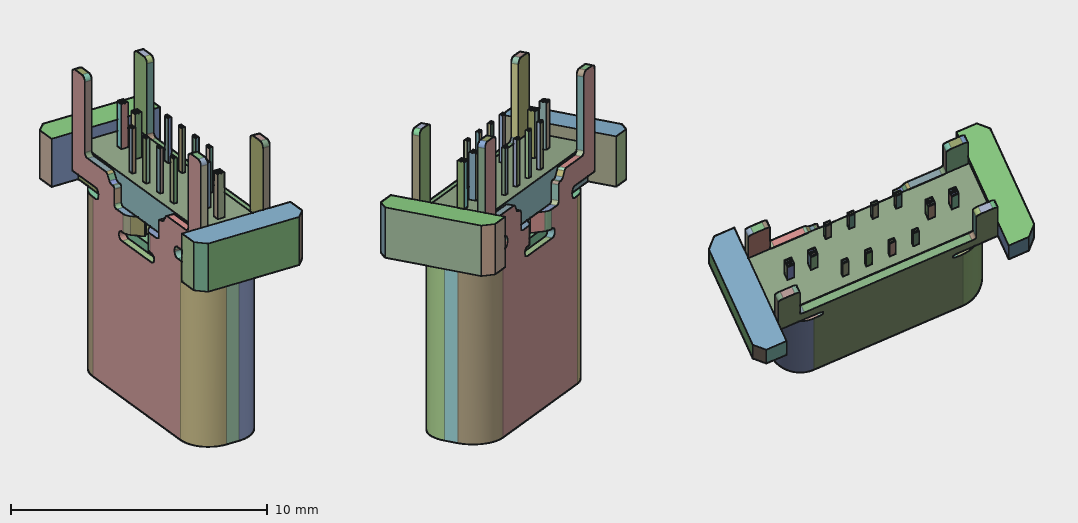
import cadquery as cq
import math

leg_top = 12.9
pin_top = 11.5
wing_top = 10.0
housing_top = 9.5
plate_top = 9.4
wing_bottom = 7.88

shell_width = 8.95
shell_depth = 3.19
shell_corner_radius = 1.3
sheet_thickness = 0.32
housing_depth = shell_depth - 2 * sheet_thickness
front_face = -shell_depth / 2
plate_width = 9.37

total_width = 12.0
wing_depth = 5.0
wing_length = 1.26
wing_chamfer = 0.4
housing_width = total_width - 2 * wing_length

leg_width = 0.93
leg_tip_radius = 0.22
leg_root_radius = 0.18
relief_height = 0.5
relief_end = 2.76
relief_corner_radius = 0.22

notch_mouth_half = 2.15
notch_step_half = 1.91
notch_half = 1.61
notch_step_level = 9.02
notch_bottom = 8.1
notch_mouth_radius = 0.15
notch_slope_radius = 0.22
notch_lip_radius = 0.1
notch_corner_radius = 0.15

slot_length = 2.55
slot_top = 7.28
slot_height = 0.4
dent_start_half = 0.98
dent_slope_half = 0.66
dent_gap_half = 0.25
dent_angle = 45.0
dent_pocket_depth = 0.19

pin_span = 7.0
pin_columns = 8
pin_pitch = pin_span / (pin_columns - 1)
pin_depth = 0.15
outer_pin_width = 0.3
inner_pin_width = 0.25
inner_pin_row = 0.83
pin_tip_chamfer = 0.04


def box(width, depth, bottom, top):
    """Box centred on the Z axis, between two levels."""
    return cq.Workplane("XY", origin=(0, 0, bottom)).rect(width, depth).extrude(top - bottom)


def shell_tube():
    tube = box(shell_width, shell_depth, 0, wing_bottom)
    return tube.edges("|Z").fillet(shell_corner_radius)


def wing(side):
    center = side * (total_width - wing_length) / 2
    block = box(wing_length, wing_depth, wing_bottom, wing_top).translate((center, 0, 0))
    outer_edges = ">X and |Z" if side > 0 else "<X and |Z"
    return block.edges(outer_edges).chamfer(wing_chamfer)


def round_corner_pair(solid, half, level, radius):
    """Fillet the edges along Y that stand at X = -half and X = +half on one level."""
    margin = 0.01
    for side in (-1, 1):
        near = cq.selectors.BoxSelector(
            (side * half - margin, -shell_depth, level - margin),
            (side * half + margin, shell_depth, level + margin),
        )
        solid = solid.edges("|Y").edges(near).fillet(radius)
    return solid


def solder_plate(y_start):
    """Plate with two legs, reaching one sheet thickness toward +Y from y_start."""
    half = plate_width / 2
    leg_inner = half - leg_width
    relief_top = wing_bottom + relief_height
    base = cq.Workplane("XZ", origin=(0, y_start, 0))
    plate = (
        base.moveTo(-half, wing_bottom)
        .lineTo(half, wing_bottom)
        .lineTo(half, leg_top)
        .lineTo(leg_inner, leg_top)
        .lineTo(leg_inner, plate_top)
        .lineTo(-leg_inner, plate_top)
        .lineTo(-leg_inner, leg_top)
        .lineTo(-half, leg_top)
        .close()
        .extrude(-sheet_thickness)
    )
    plate = plate.edges("|Y").edges(">Z").fillet(leg_tip_radius)
    plate = round_corner_pair(plate, leg_inner, plate_top, leg_root_radius)

    for side in (-1, 1):
        relief = (
            base.center(side * half, (wing_bottom + relief_top) / 2)
            .rect(2 * (half - relief_end), relief_height)
            .extrude(-sheet_thickness)
            .edges("|Y")
            .fillet(relief_corner_radius)
        )
        plate = plate.cut(relief)
    return plate


def notch_cutter():
    """Stepped notch through the front plate, rounded at every bend below its mouth."""
    profile = [
        (notch_half, notch_bottom),
        (notch_half, notch_step_level),
        (notch_step_half, notch_step_level),
        (notch_mouth_half, plate_top),
    ]
    mirrored = [(-x, z) for x, z in reversed(profile)]
    cutter = (
        cq.Workplane("XZ", origin=(0, front_face, 0))
        .polyline(profile + mirrored)
        .close()
        .extrude(-sheet_thickness)
    )

    cutter = round_corner_pair(cutter, notch_half, notch_bottom, notch_corner_radius)
    cutter = round_corner_pair(cutter, notch_half, notch_step_level, notch_lip_radius)
    return round_corner_pair(cutter, notch_step_half, notch_step_level, notch_slope_radius)


def dent_cutter():
    """Recess between two bent-in flaps, undercut behind their tips down to a flat floor."""
    angle = math.radians(dent_angle)
    bend_radius = (dent_start_half - dent_slope_half) / math.sin(angle)
    mid_x = dent_start_half - bend_radius * math.sin(angle / 2)
    mid_y = front_face + bend_radius * (1 - math.cos(angle / 2))
    slope_y = front_face + bend_radius * (1 - math.cos(angle))
    flap_tip_y = slope_y + (dent_slope_half - dent_gap_half) * math.tan(angle)
    floor_y = flap_tip_y + dent_pocket_depth
    floor_half = dent_gap_half + dent_pocket_depth * math.tan(angle)
    return (
        cq.Workplane("XY", origin=(0, 0, slot_top))
        .moveTo(-dent_start_half, front_face)
        .threePointArc((-mid_x, mid_y), (-dent_slope_half, slope_y))
        .lineTo(-dent_gap_half, flap_tip_y)
        .lineTo(-floor_half, floor_y)
        .lineTo(floor_half, floor_y)
        .lineTo(dent_gap_half, flap_tip_y)
        .lineTo(dent_slope_half, slope_y)
        .threePointArc((mid_x, mid_y), (dent_start_half, front_face))
        .close()
        .extrude(notch_bottom - slot_top)
    )


def slot_cutter():
    return (
        cq.Workplane("XZ", origin=(0, front_face, slot_top - slot_height / 2))
        .slot2D(slot_length, slot_height)
        .extrude(-sheet_thickness)
    )


def pin(x, y, width):
    """Pin rising from the housing, its tip chamfered on the front and back."""
    post = box(width, pin_depth, housing_top, pin_top)
    return post.edges(">Z and |X").chamfer(pin_tip_chamfer).translate((x, y, 0))


def pins():
    """Two outer pairs on each side, back to back, and two rows of four inner pins."""
    posts = []
    for row in (-1, 1):
        for step in (-3.5, -2.5, 2.5, 3.5):
            posts.append(pin(step * pin_pitch, row * pin_depth / 2, outer_pin_width))
        for step in (-1.5, -0.5, 0.5, 1.5):
            posts.append(pin(step * pin_pitch, row * inner_pin_row, inner_pin_width))
    return posts


front_plate = solder_plate(front_face).cut(notch_cutter())
front_plate = round_corner_pair(front_plate, notch_mouth_half, plate_top, notch_mouth_radius)
back_plate = solder_plate(-front_face - sheet_thickness)
housing = box(housing_width, housing_depth, wing_bottom, housing_top)

result = shell_tube().union(housing).union(front_plate).union(back_plate)
for side in (-1, 1):
    result = result.union(wing(side))
result = result.cut(dent_cutter()).cut(slot_cutter())
for post in pins():
    result = result.union(post)